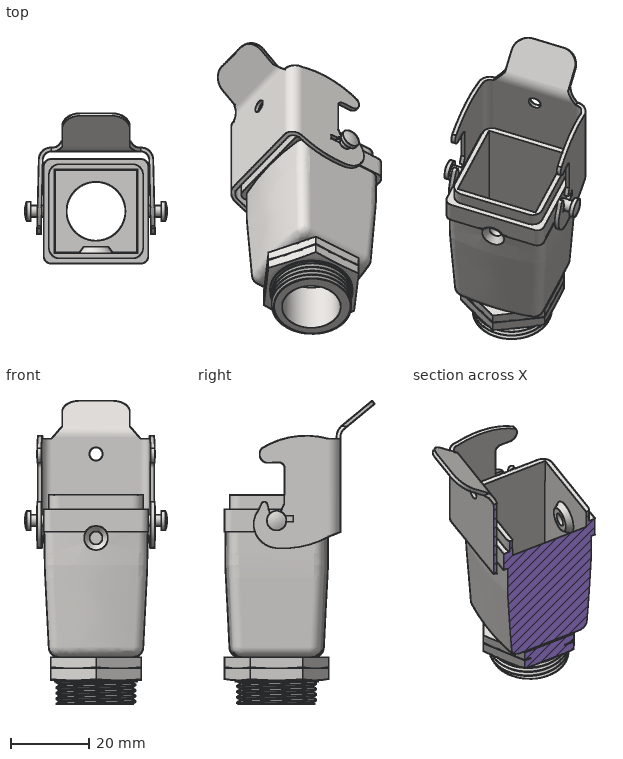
import cadquery as cq
import math

BORE_DIA = 15.0
THREAD_DIA = 20.4
THREAD_PITCH = 1.411
THREAD_DEPTH = 0.67
THREAD_CREST_WIDTH = 0.15
THREAD_ROOT_GAP = 0.07
THREAD_EMBED = 0.2
FLANGE_DIA = 21.2
FLANGE_BOTTOM_Z = 5.8
HEX_BOTTOM_Z = 6.15
HEX_SPLIT_Z = 9.2
HEX_TOP_Z = 12.05
HEX_FLATS = 23.2
HEX_CHAMFER_ANGLE = 9.0

BODY_HALF = 13.2
BODY_CORNER_Y = 11.85
BODY_TAPER_ANGLE = 2.9
TAPER_TOP_Z = 35.6
BODY_BLEND_HALF = 3.1
BODY_CORNER_RADIUS = 2.7
BODY_BOTTOM_RADIUS = 2.6
COLLAR_BOTTOM_Z = 44.1
COLLAR_TOP_Z = 49.95
COLLAR_SIDE = 26.8
COLLAR_RADIUS = 1.9
NECK_TOP_Z = 53.6
NECK_SIDE = 24.1
NECK_RADIUS = 2.7

CAVITY_SIDE = 21.5
CAVITY_FLOOR_Z = 14.7
CAVITY_DRAFT_ANGLE = 0.4

SCREW_Z = 42.55
SCREW_DIA = 3.3
SINK_DIA = 6.2
SINK_DEPTH = 1.7
BOSS_BASE_DIA = 8.8
BOSS_TIP_DIA = 6.3
BOSS_HEIGHT = 1.7

PIN_Z = 47.0
PIN_DIA = 3.0
PIN_HALF_SPAN = 36.5 / 2
HEAD_DIA = 5.0
HEAD_INNER_X = 16.7
HEAD_RIM_X = 17.75

SHEET = 1.05
LEVER_BACK_Y = 16.35
LEVER_BEND_RADIUS = 3.2
LEVER_HALF_WIDTH = 14.6
LEVER_SPLAY_ANGLE = 1.4
LEVER_TOP_Z = 68.0
LEVER_OPEN_Y = -8.0
LEVER_HOLE_Z = 64.05
LEVER_HOLE_DIA = 3.3
SEAT_RADIUS = 2.5
NOTCH_END_Y = 4.2
NOTCH_BOTTOM_Z = 46.75
NOTCH_HEIGHT = 1.45

TAB_TIP_Y = 38.5 - COLLAR_SIDE / 2
TAB_LEAN_ANGLE = 50.5
TAB_INNER_RADIUS = 2.8
TAB_BEND_START_Z = 68.34
TAB_HALF_WIDTH = 8.7
TAB_CORNER_RADIUS = 4.5
FLARE_HALF_WIDTH = 11.4
FLARE_TOP_Z = 71.1

CLEAR = 20.0


def cylinder(diameter, z_low, z_high):
    return cq.Workplane("XY").workplane(offset=z_low).circle(diameter / 2).extrude(z_high - z_low)


def hex_nut(z_low, z_high):
    """Hexagon with flats facing +-X and its lower corners turned off."""
    corner_radius = HEX_FLATS / 2 / math.cos(math.pi / 6)
    rise = (corner_radius - HEX_FLATS / 2) * math.tan(math.radians(HEX_CHAMFER_ANGLE))
    hexagon = (
        cq.Workplane("XY").workplane(offset=z_low)
        .polygon(6, 2 * corner_radius).extrude(z_high - z_low)
        .rotate((0, 0, 0), (0, 0, 1), 30)
    )
    turned = (
        cq.Workplane("XZ")
        .moveTo(0, z_low)
        .lineTo(HEX_FLATS / 2, z_low)
        .lineTo(corner_radius, z_low + rise)
        .lineTo(corner_radius, z_high)
        .lineTo(0, z_high)
        .close()
        .revolve(360, (0, 0, 0), (0, 1, 0))
    )
    return hexagon.intersect(turned)


def thread():
    """Right-hand V thread: a helical ridge sunk into a root cylinder."""
    root_radius = THREAD_DIA / 2 - THREAD_DEPTH
    base_radius = root_radius - THREAD_EMBED
    base_half = (THREAD_PITCH - THREAD_ROOT_GAP) / 2
    crest_half = THREAD_CREST_WIDTH / 2
    corners = [
        (base_radius, -base_half),
        (THREAD_DIA / 2, -crest_half),
        (THREAD_DIA / 2, crest_half),
        (base_radius, base_half),
    ]
    start_z = -1.5 * THREAD_PITCH
    length = FLANGE_BOTTOM_Z - 2 * start_z
    helices = []
    for radius, offset in corners:
        helix = cq.Wire.makeHelix(THREAD_PITCH, length, radius)
        helices.append(helix.translate(cq.Vector(0, 0, start_z + offset)))

    faces = []
    for helix, following in zip(helices, helices[1:] + helices[:1]):
        faces.append(cq.Face.makeRuledSurface(helix, following))
    for end in (0, 1):
        outline = cq.Wire.makePolygon([helix.positionAt(end) for helix in helices], close=True)
        faces.append(cq.Face.makeFromWires(outline))
    ridge = cq.Workplane(cq.Solid.makeSolid(cq.Shell.makeShell(faces)))

    width = THREAD_DIA + CLEAR
    trim = cq.Workplane("XY").box(width, width, FLANGE_BOTTOM_Z, centered=(True, True, False))
    core = cylinder(2 * root_radius, 0, FLANGE_BOTTOM_Z).rotate((0, 0, 0), (0, 0, 1), 90)
    return core.union(ridge.intersect(trim), clean=False)


def bowed_section(plane, inset):
    """Outline whose +-Y sides bow outward; its X sides lie outside the body."""
    bow = BODY_HALF - BODY_CORNER_Y
    bow_radius = (BODY_HALF**2 + bow**2) / (2 * bow)
    half = BODY_HALF + 1
    apex_y = BODY_HALF - inset
    corner_y = apex_y - bow_radius + math.sqrt(bow_radius**2 - half**2)
    return (
        plane
        .moveTo(-half, -corner_y)
        .threePointArc((0, -apex_y), (half, -corner_y))
        .lineTo(half, corner_y)
        .threePointArc((0, apex_y), (-half, corner_y))
        .close()
    )


def body():
    taper = math.radians(BODY_TAPER_ANGLE)
    inset = (TAPER_TOP_Z - HEX_TOP_Z) * math.tan(taper)
    upper = bowed_section(cq.Workplane("XY").workplane(offset=TAPER_TOP_Z), 0)
    upper = upper.extrude(COLLAR_TOP_Z - TAPER_TOP_Z)
    lower = bowed_section(cq.Workplane("XY").workplane(offset=HEX_TOP_Z), inset)
    lower = bowed_section(lower.workplane(offset=TAPER_TOP_Z - HEX_TOP_Z), 0).loft(ruled=True)

    blend_top = TAPER_TOP_Z + BODY_BLEND_HALF
    blend_bottom = TAPER_TOP_Z - BODY_BLEND_HALF * math.cos(taper)
    blend_x = BODY_HALF - BODY_BLEND_HALF * math.sin(taper)
    bottom_x = BODY_HALF - inset
    side_profile = (
        cq.Workplane("XZ")
        .moveTo(-BODY_HALF, COLLAR_TOP_Z)
        .lineTo(-BODY_HALF, blend_top)
        .tangentArcPoint((-blend_x, blend_bottom), relative=False)
        .lineTo(-bottom_x, HEX_TOP_Z)
        .lineTo(bottom_x, HEX_TOP_Z)
        .lineTo(blend_x, blend_bottom)
        .tangentArcPoint((BODY_HALF, blend_top), relative=False)
        .lineTo(BODY_HALF, COLLAR_TOP_Z)
        .close()
        .extrude(CLEAR, both=True)
    )
    shell = upper.union(lower).intersect(side_profile)
    upright = [edge for edge in shell.edges().vals() if edge.BoundingBox().zlen > 1]
    shell = cq.Workplane(shell.val().fillet(BODY_CORNER_RADIUS, upright))
    return shell.faces("<Z").edges().fillet(BODY_BOTTOM_RADIUS)


def rounded_block(side, radius, z_low, z_high):
    block = cq.Workplane("XY").workplane(offset=z_low).rect(side, side).extrude(z_high - z_low)
    return block.edges("|Z").fillet(radius)


def cavity():
    return (
        cq.Workplane("XY").workplane(offset=NECK_TOP_Z)
        .rect(CAVITY_SIDE, CAVITY_SIDE)
        .extrude(CAVITY_FLOOR_Z - NECK_TOP_Z, taper=CAVITY_DRAFT_ANGLE)
    )


def turned_on_screw_axis(outline):
    """Revolve (radius, Y) points, closed along the axis, about the screw axis."""
    closed = [(0, outline[0][1])] + outline + [(0, outline[-1][1])]
    profile = cq.Workplane("XY").polyline(closed).close()
    return profile.revolve(360, (0, 0, 0), (0, 1, 0)).translate((0, 0, SCREW_Z))


def hood():
    """Body, collar and neck, hollowed, with the screw boss inside."""
    shell = body()
    shell = shell.union(rounded_block(COLLAR_SIDE, COLLAR_RADIUS, COLLAR_BOTTOM_Z, COLLAR_TOP_Z))
    shell = shell.union(rounded_block(NECK_SIDE, NECK_RADIUS, COLLAR_TOP_Z, NECK_TOP_Z))
    shell = shell.cut(cavity())

    inner_wall_y = -CAVITY_SIDE / 2
    boss_tip_y = inner_wall_y + BOSS_HEIGHT
    boss = turned_on_screw_axis([
        (BOSS_BASE_DIA / 2, inner_wall_y - 1),
        (BOSS_BASE_DIA / 2, inner_wall_y),
        (BOSS_TIP_DIA / 2, boss_tip_y),
    ])
    screw_hole = turned_on_screw_axis([
        (SINK_DIA / 2, -BODY_HALF - 1),
        (SINK_DIA / 2, -BODY_HALF),
        (SCREW_DIA / 2, SINK_DEPTH - BODY_HALF),
        (SCREW_DIA / 2, boss_tip_y + 1),
    ])
    return shell.union(boss).cut(screw_hole)


def gland():
    """Threaded end, flange and the two hexagons under the hood."""
    nuts = hex_nut(HEX_BOTTOM_Z, HEX_SPLIT_Z).union(hex_nut(HEX_SPLIT_Z, HEX_TOP_Z), clean=False)
    flange = cylinder(FLANGE_DIA, FLANGE_BOTTOM_Z, HEX_BOTTOM_Z)
    return thread().union(flange, clean=False).union(nuts, clean=False)


def pin():
    """Domed-head pivot pin on the +X side, rooted in the collar wall."""
    wall_x = CAVITY_SIDE / 2 + 1
    profile = (
        cq.Workplane("XY")
        .moveTo(wall_x, 0)
        .lineTo(wall_x, PIN_DIA / 2)
        .lineTo(HEAD_INNER_X, PIN_DIA / 2)
        .lineTo(HEAD_INNER_X, HEAD_DIA / 2)
        .lineTo(HEAD_RIM_X, HEAD_DIA / 2)
    )
    dome_height = PIN_HALF_SPAN - HEAD_RIM_X
    dome_radius = ((HEAD_DIA / 2) ** 2 + dome_height**2) / (2 * dome_height)
    mid_y = HEAD_DIA / 4
    mid_x = PIN_HALF_SPAN - dome_radius + math.sqrt(dome_radius**2 - mid_y**2)
    profile = profile.threePointArc((mid_x, mid_y), (PIN_HALF_SPAN, 0)).close()
    return profile.revolve(360, (0, 0, 0), (1, 0, 0)).translate((0, 0, PIN_Z))


def lever_channel(inset):
    """Solid U outline of the lever, open toward -Y, shrunk by inset."""
    half = LEVER_HALF_WIDTH - inset
    back_y = LEVER_BACK_Y - inset
    splay = (back_y - LEVER_OPEN_Y) * math.tan(math.radians(LEVER_SPLAY_ANGLE))
    height = LEVER_TOP_Z + CLEAR
    channel = (
        cq.Workplane("XY")
        .polyline([
            (-half - splay, LEVER_OPEN_Y),
            (-half, back_y),
            (half, back_y),
            (half + splay, LEVER_OPEN_Y),
        ])
        .close().extrude(height)
    )
    return channel.faces(">Y").edges("|Z").fillet(LEVER_BEND_RADIUS - inset)


def lever_side_outline():
    """Lever seen along X, as (Y, Z): latch hook above, slotted pivot lobe below."""
    bend_y = LEVER_BACK_Y - LEVER_BEND_RADIUS

    def on_seat(y):
        return (y, PIN_Z + math.sqrt(SEAT_RADIUS**2 - y**2))

    return (
        cq.Workplane("YZ")
        .moveTo(LEVER_BACK_Y, LEVER_TOP_Z)
        .lineTo(bend_y, LEVER_TOP_Z)
        .threePointArc((4.6, 68.55), (-3.75, 65.55))
        .threePointArc((-4.25, 63.2), (-2.5, 61.75))
        .lineTo(0.3, 61.85)
        .threePointArc((1.5, 61.5), (2.0, 60.4))
        .lineTo(2.0, 51.4)
        .lineTo(*on_seat(1.0))
        .threePointArc(on_seat(2.0), on_seat(SEAT_RADIUS))
        .lineTo(*on_seat(-SEAT_RADIUS))
        .threePointArc(on_seat(-2.2), on_seat(-1.75))
        .lineTo(-2.4, 51.3)
        .threePointArc((-3.15, 51.8), (-3.85, 51.4))
        .lineTo(-4.7, 49.6)
        .threePointArc((-5.85, 45.5), (-4.0, 41.7))
        .threePointArc((-2.0, 40.4), (0.5, 39.95))
        .threePointArc((6.9, 40.45), (bend_y, 42.8))
        .lineTo(LEVER_BACK_Y, 44.05)
        .close()
        .extrude(CLEAR, both=True)
    )


def thumb_tab():
    """Sheet tab bent back from the top of the lever, narrowing above a flare."""
    lean = math.radians(TAB_LEAN_ANGLE)
    outward = (math.sin(lean), math.cos(lean))
    normal = (-math.cos(lean), math.sin(lean))
    centre_y = LEVER_BACK_Y + TAB_INNER_RADIUS
    inner_y = LEVER_BACK_Y - SHEET

    def on_bend(radius, angle):
        return (centre_y - radius * math.cos(angle), TAB_BEND_START_Z + radius * math.sin(angle))

    bend_end = on_bend(TAB_INNER_RADIUS, lean)
    length = (TAB_TIP_Y - bend_end[0]) / outward[0]
    tip = (TAB_TIP_Y, bend_end[1] + length * outward[1])
    tip_upper = (tip[0] + SHEET * normal[0], tip[1] + SHEET * normal[1])
    outer_radius = TAB_INNER_RADIUS + SHEET
    strip = (
        cq.Workplane("YZ")
        .moveTo(LEVER_BACK_Y, LEVER_TOP_Z)
        .lineTo(LEVER_BACK_Y, TAB_BEND_START_Z)
        .threePointArc(on_bend(TAB_INNER_RADIUS, lean / 2), bend_end)
        .lineTo(*tip)
        .lineTo(*tip_upper)
        .lineTo(*on_bend(outer_radius, lean))
        .threePointArc(on_bend(outer_radius, lean / 2), (inner_y, TAB_BEND_START_Z))
        .lineTo(inner_y, LEVER_TOP_Z)
        .close()
        .extrude(FLARE_HALF_WIDTH, both=True)
    )
    top_z = TAB_BEND_START_Z + CLEAR
    front_outline = (
        cq.Workplane("XZ")
        .polyline([
            (-FLARE_HALF_WIDTH, LEVER_TOP_Z),
            (-TAB_HALF_WIDTH, FLARE_TOP_Z),
            (-TAB_HALF_WIDTH, top_z),
            (TAB_HALF_WIDTH, top_z),
            (TAB_HALF_WIDTH, FLARE_TOP_Z),
            (FLARE_HALF_WIDTH, LEVER_TOP_Z),
        ])
        .close()
        .extrude(2 * CLEAR, both=True)
    )
    tab = strip.intersect(front_outline)
    across_sheet = cq.selectors.ParallelDirSelector(cq.Vector(0, *normal))
    return tab.edges(across_sheet).fillet(TAB_CORNER_RADIUS)


def lever():
    sheet = lever_channel(0).cut(lever_channel(SHEET)).intersect(lever_side_outline())
    notch_centre_y = NOTCH_END_Y / 2 + PIN_DIA / 4
    notch = (
        cq.Workplane("YZ", origin=(0, notch_centre_y, NOTCH_BOTTOM_Z + NOTCH_HEIGHT / 2))
        .rect(NOTCH_END_Y - PIN_DIA / 2, NOTCH_HEIGHT)
        .extrude(CLEAR, both=True)
    )
    back_hole = (
        cq.Workplane("XZ", origin=(0, 0, LEVER_HOLE_Z))
        .circle(LEVER_HOLE_DIA / 2)
        .extrude(-CLEAR)
    )
    return sheet.cut(notch).cut(back_hole).union(thumb_tab())


bore = cylinder(BORE_DIA, -1, CAVITY_FLOOR_Z + 1)
result = hood().union(gland(), clean=False).cut(bore, clean=False)
result = result.union(pin()).union(pin().mirror("YZ")).union(lever(), clean=False)